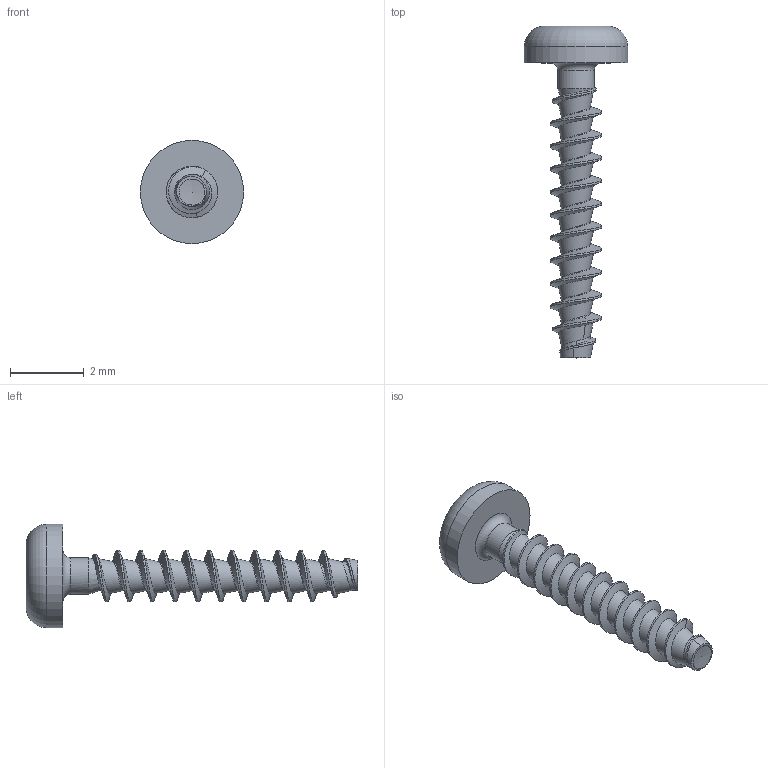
import cadquery as cq
import math


head_radius = 1.4
head_height = 1.0
head_round = 0.56

shank_length = 8.0
neck_radius = 0.5
neck_end = 0.7
under_head_fillet = 0.2
core_radius = 0.39
core_taper_length = 0.3

dish_radius = 0.365
dish_depth = 0.025

pitch = 0.62
crest_radius = 0.70
crest_width = 0.05
flank_angle = 17.0
root_radius = 0.475
run_out_slope = 0.32
sink = 0.005
base_radius = 0.35
turn_gap = 0.005

thread_start = 0.56
thread_end = shank_length
reference_depth = 1.335
sections_per_turn = 24


def make_body():
    """Revolve the head, neck and core about the Y axis."""
    fillet_edge = neck_radius + under_head_fillet
    round_center_radius = head_radius - head_round
    round_center_height = head_height - head_round
    round_middle = head_round * math.sin(math.pi / 4)
    dish_sphere_radius = (dish_radius**2 + dish_depth**2) / (2 * dish_depth)
    outline = (
        cq.Workplane("ZY")
        .moveTo(0, dish_depth - shank_length)
        .radiusArc((dish_radius, -shank_length), dish_sphere_radius)
        .lineTo(core_radius, -shank_length)
        .lineTo(core_radius, -neck_end - core_taper_length)
        .lineTo(neck_radius, -neck_end)
        .lineTo(neck_radius, -under_head_fillet)
        .radiusArc((fillet_edge, 0), under_head_fillet)
        .lineTo(head_radius, 0)
        .lineTo(head_radius, round_center_height)
        .threePointArc(
            (round_center_radius + round_middle, round_center_height + round_middle),
            (round_center_radius, head_height),
        )
        .lineTo(0, head_height)
        .close()
    )
    return outline.revolve(360, (0, 0, 0), (0, 1, 0))


def local_crest_radius(depth):
    """Crest radius at a distance below the head, with run-outs at both ends."""
    at_start = neck_radius - sink + run_out_slope * (depth - thread_start)
    at_end = core_radius - sink + run_out_slope * (thread_end - depth)
    return min(crest_radius, at_start, at_end)


def flank_offset(crest, radius):
    """Axial distance from the thread's middle to its flank at a radius."""
    return crest_width / 2 + math.tan(math.radians(flank_angle)) * (crest - radius)


def thread_section(depth):
    """Corners of the thread section as (radius, axial offset toward the head)."""
    crest = local_crest_radius(depth)
    root = min(root_radius, crest - sink)
    root_end = core_radius - sink
    next_turn = turn_gap - pitch
    return [
        (base_radius, flank_offset(crest, base_radius)),
        (crest, flank_offset(crest, crest)),
        (crest, -flank_offset(crest, crest)),
        (root, -flank_offset(crest, root)),
        (root_end, next_turn + flank_offset(crest_radius, root_end)),
        (base_radius, next_turn + flank_offset(crest_radius, base_radius)),
    ]


def section_corners(depth):
    """Corners of the thread section at a depth, placed on the helix."""
    angle = 2 * math.pi * (depth - reference_depth) / pitch
    return [
        cq.Vector(radius * math.cos(angle), offset - depth, radius * math.sin(angle))
        for radius, offset in thread_section(depth)
    ]


def thread_breaks():
    """Depths that split the thread where its run-outs end, and once per turn between."""
    full_start = thread_start + (crest_radius - neck_radius + sink) / run_out_slope
    full_end = thread_end - (crest_radius - core_radius + sink) / run_out_slope
    root_end = thread_end - (root_radius - core_radius + 2 * sink) / run_out_slope
    turns = math.ceil((full_end - full_start) / pitch)
    full_turns = [full_start + turn * pitch for turn in range(turns)]
    return [thread_start] + full_turns + [full_end, root_end, thread_end]


def thread_stretch(start, end):
    """Ruled faces that follow the section corners along one stretch of the helix."""
    steps = math.ceil((end - start) / pitch * sections_per_turn)
    sections = [section_corners(start + (end - start) * step / steps) for step in range(steps + 1)]
    edges = [cq.Edge.makeSpline(list(track)) for track in zip(*sections)]
    return [
        cq.Face.makeRuledSurface(edge, following)
        for edge, following in zip(edges, edges[1:] + edges[:1])
    ]


def make_thread():
    """Close the faces of all stretches and the two end sections into a solid."""
    breaks = thread_breaks()
    faces = []
    for start, end in zip(breaks, breaks[1:]):
        faces += thread_stretch(start, end)
    for depth in (thread_start, thread_end):
        end_outline = cq.Wire.makePolygon(section_corners(depth), close=True)
        faces.append(cq.Face.makeFromWires(end_outline))
    solid = cq.Solid.makeSolid(cq.Shell.makeShell(faces))
    return cq.Workplane(obj=solid)


def make_tip_trim():
    """Disc beyond the tip that removes the overhanging end of the thread."""
    return (
        cq.Workplane("XZ", origin=(0, -shank_length, 0))
        .circle(head_radius)
        .extrude(2 * pitch)
    )


result = make_body().union(make_thread().cut(make_tip_trim()))